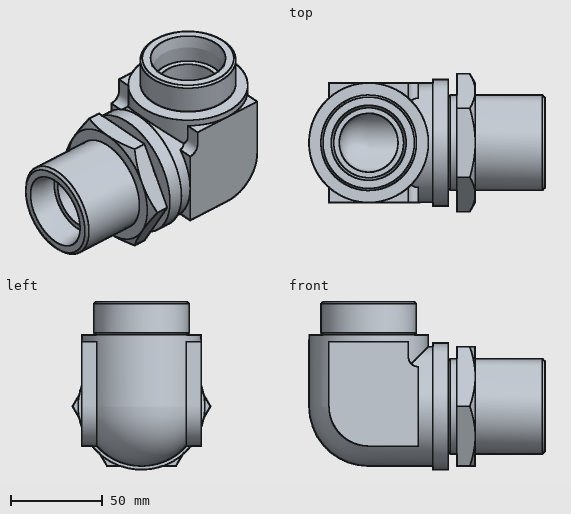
import cadquery as cq
import math

body_radius = 32.5
body_top = 38.9

spigot_radius = 26.02
spigot_top = 56.9
spigot_chamfer = 1.2

flange_radius = 34.5
flange_start = 35.0
flange_end = 43.3
tail_end = 128.5 - body_radius
tail_chamfer = 1.5

nut_start = 47.9
nut_end = 58.0
nut_flats = 2 * body_radius
nut_chamfer_angle = 30

pad_reach = 21.6
pad_front = 27.0
pad_top = 35.2
notch_radius = pad_front - pad_reach

bore_radius = 16.0
socket_radius = 19.0
socket_mouth_radius = 20.4
socket_taper_depth = 6.7
socket_depth = 15.8


def disc_z(radius, start, end):
    """Cylinder along Z between two heights."""
    return cq.Workplane("XY").workplane(offset=start).circle(radius).extrude(end - start)


def disc_x(radius, start, end):
    """Cylinder along X between two stations."""
    return cq.Workplane("YZ").workplane(offset=start).circle(radius).extrude(end - start)


def make_body():
    """Two equal branches joined by a spherical heel."""
    heel = cq.Workplane("XY").sphere(body_radius)
    upright = disc_z(body_radius, 0, body_top)
    branch = disc_x(body_radius, 0, flange_start)
    return heel.union(upright).union(branch)


def make_pads():
    """Flat-sided block with a round heel and a filleted notch at the inner corner."""
    heel_mid = pad_reach * math.sqrt(0.5)
    notch_mid = pad_front - notch_radius * math.sqrt(0.5)
    return (
        cq.Workplane("XZ")
        .moveTo(-pad_reach, pad_top)
        .lineTo(-pad_reach, 0)
        .threePointArc((-heel_mid, -heel_mid), (0, -pad_reach))
        .lineTo(pad_front, -pad_reach)
        .lineTo(pad_front, pad_reach)
        .threePointArc((notch_mid, notch_mid), (pad_reach, pad_front))
        .lineTo(pad_reach, pad_top)
        .close()
        .extrude(body_radius, both=True)
    )


def make_spigot():
    return disc_z(spigot_radius, body_top, spigot_top).edges().chamfer(spigot_chamfer)


def make_tail():
    """Flange followed by the long spigot that carries the nut."""
    flange = disc_x(flange_radius, flange_start, flange_end)
    tail = disc_x(spigot_radius, flange_end, tail_end)
    tail = tail.faces("<X").chamfer(spigot_chamfer).faces(">X").chamfer(tail_chamfer)
    return flange.union(tail)


def make_nut():
    """Hexagon with flats facing up and down, its outer corners cut by a cone."""
    corner_radius = nut_flats / 2 / math.cos(math.radians(30))
    flat_radius = nut_flats / 2
    cone_length = (corner_radius - flat_radius) * math.tan(math.radians(nut_chamfer_angle))
    hexagon = (
        cq.Workplane("YZ")
        .workplane(offset=nut_start)
        .polygon(6, 2 * corner_radius)
        .extrude(nut_end - nut_start)
    )
    envelope = (
        cq.Workplane("XY")
        .moveTo(nut_start, 0)
        .lineTo(nut_start, corner_radius)
        .lineTo(nut_end - cone_length, corner_radius)
        .lineTo(nut_end, flat_radius)
        .lineTo(nut_end, 0)
        .close()
        .revolve(360, (0, 0, 0), (1, 0, 0))
    )
    return hexagon.intersect(envelope)


def make_branch_passage(end):
    """Bore and tapered socket of a branch along Z, from the origin to its open end."""
    return (
        cq.Workplane("XZ")
        .moveTo(0, 0)
        .lineTo(bore_radius, 0)
        .lineTo(bore_radius, end - socket_depth)
        .lineTo(socket_radius, end - socket_depth)
        .lineTo(socket_radius, end - socket_taper_depth)
        .lineTo(socket_mouth_radius, end)
        .lineTo(0, end)
        .close()
        .revolve(360, (0, 0, 0), (0, 1, 0))
    )


def make_passage():
    """Both branch passages joined by a spherical bend."""
    bend = cq.Workplane("XY").sphere(bore_radius)
    upright = make_branch_passage(spigot_top)
    branch = make_branch_passage(tail_end).rotate((0, 0, 0), (0, 1, 0), 90)
    return bend.union(upright).union(branch)


outside = make_body().union(make_pads()).union(make_spigot()).union(make_tail()).union(make_nut())
result = outside.cut(make_passage())